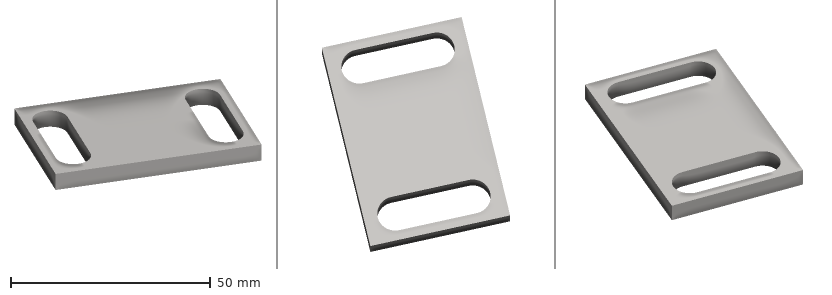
import cadquery as cq

plate_width = 36.0
plate_length = 54.0
plate_thickness = 4.6

slot_length = 29.0
slot_width = 9.0
slot_spacing = 40.0


def make_plate():
    """Flat rectangular plate centred on the origin."""
    return cq.Workplane("XY").box(plate_width, plate_length, plate_thickness)


def cut_slots(plate):
    """Cut one through slot near each end of the plate."""
    slot_centres = [(0, -slot_spacing / 2), (0, slot_spacing / 2)]
    return (
        plate.faces(">Z")
        .workplane()
        .pushPoints(slot_centres)
        .slot2D(slot_length, slot_width)
        .cutThruAll()
    )


result = cut_slots(make_plate())